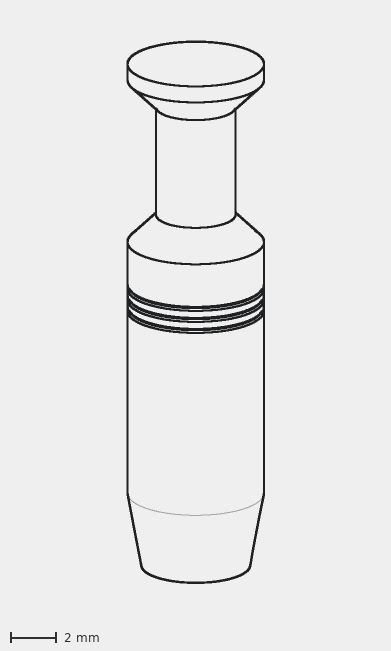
import cadquery as cq

total_height = 23.3
body_diameter = 6.0
neck_diameter = 3.5
tip_diameter = 4.8

tip_height = 3.35
head_rim_height = 0.75
neck_length = 5.0

groove_count = 3
groove_pitch = 0.51
groove_depth = 0.1
top_groove_height = 12.95

body_radius = body_diameter / 2
neck_radius = neck_diameter / 2
tip_radius = tip_diameter / 2

cone_height = body_radius - neck_radius
head_cone_top = total_height - head_rim_height
neck_top = head_cone_top - cone_height
neck_bottom = neck_top - neck_length
shoulder_height = neck_bottom - cone_height


def make_pin():
    """Revolve the half outline of the pin around Z."""
    outline = [
        (0, 0),
        (tip_radius, 0),
        (body_radius, tip_height),
        (body_radius, shoulder_height),
        (neck_radius, neck_bottom),
        (neck_radius, neck_top),
        (body_radius, head_cone_top),
        (body_radius, total_height),
        (0, total_height),
    ]
    return cq.Workplane("XZ").polyline(outline).close().revolve(360, (0, 0), (0, 1))


def make_groove(center_height):
    """Ring with a triangular section whose point lies at the groove bottom."""
    outer_radius = body_radius + groove_depth
    half_width = 2 * groove_depth
    section = [
        (body_radius - groove_depth, center_height),
        (outer_radius, center_height + half_width),
        (outer_radius, center_height - half_width),
    ]
    return cq.Workplane("XZ").polyline(section).close().revolve(360, (0, 0), (0, 1))


result = make_pin()
for index in range(groove_count):
    result = result.cut(make_groove(top_groove_height - index * groove_pitch))